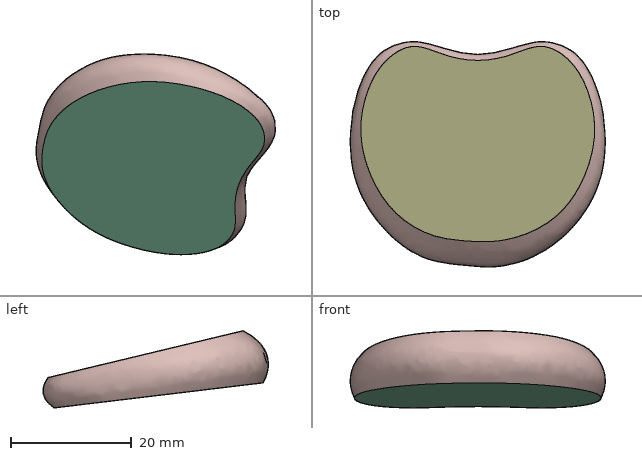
import cadquery as cq


top_height = 2.9
top_slope = -0.24
bottom_height = -4.4
bottom_slope = -0.12

equator_share = 0.4
equator_height = bottom_height + equator_share * (top_height - bottom_height)
equator_slope = bottom_slope + equator_share * (top_slope - bottom_slope)

half_width = 21.07
front_y = -18.5
lobe_y = 18.45
notch_y = 16.43

bottom_half = [
    (0, -17.78), (8.02, -16.25), (14.8, -11.4), (19.2, -4.22), (20.4, 2.95),
    (19, 10.55), (15.2, 15.4), (10.75, 16.8), (5.5, 15.75), (0, 15.05),
]
equator_half = [
    (0, front_y), (8.45, -17.25), (15.9, -11.82), (20.23, -4.22), (half_width, 3.8),
    (19.43, 11.6), (15.55, 17.0), (11, lobe_y), (5.5, 17.4), (0, notch_y),
]
top_half = [
    (0, -14.45), (6.35, -13.72), (13.1, -10.15), (17.75, -3.38), (19.35, 3.8),
    (18.15, 10.55), (14.55, 16.05), (11, 17.8), (5.5, 16.45), (0, 15.55),
]


def tilted_outline(right_half, height, slope):
    """Smooth closed outline, mirrored about X = 0, on a plane tilted about the X axis."""
    left_half = [(-x, y) for x, y in reversed(right_half[1:-1])]
    points = [cq.Vector(x, y, height + slope * y) for x, y in right_half + left_half]
    return cq.Wire.assembleEdges([cq.Edge.makeSpline(points, periodic=True)])


bottom_outline = tilted_outline(bottom_half, bottom_height, bottom_slope)
equator_outline = tilted_outline(equator_half, equator_height, equator_slope)
top_outline = tilted_outline(top_half, top_height, top_slope)

disc = cq.Solid.makeLoft([bottom_outline, equator_outline, top_outline])
result = cq.Workplane("XY").newObject([disc])